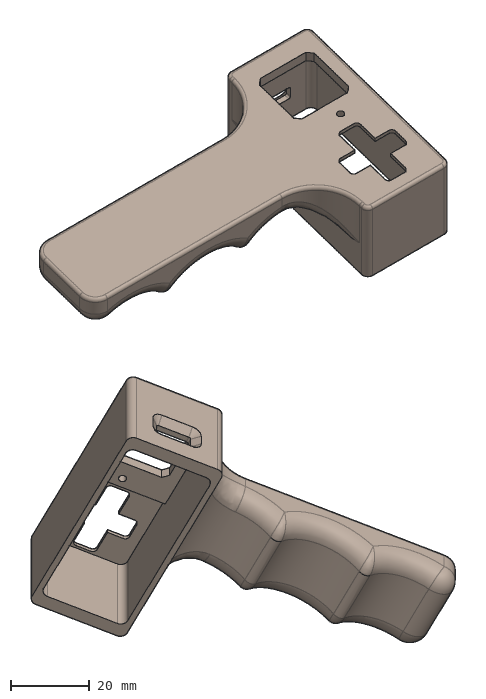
import cadquery as cq
import math


HEAD_WIDTH = 58.8
HEAD_LENGTH = 26.86
HEAD_HEIGHT = 26.2
HEAD_CORNER_RADIUS = 2.0
TOP_EDGE_RADIUS = 1.0

GRIP_COUNT = 3
GRIP_PITCH = 25.0
GRIP_RADIUS = 14.6
GRIP_CROWN_DEPTH = 9.0
RIDGE_RADIUS = 2.0
GRIP_AXIS_Z = HEAD_HEIGHT - GRIP_CROWN_DEPTH - GRIP_RADIUS
HANDLE_WIDTH = 25.0
HANDLE_LENGTH = GRIP_COUNT * GRIP_PITCH
HANDLE_EDGE_RADIUS = 5.0
FLARE_RADIUS = 14.0
ROOT_OVERLAP = 10.0

SIDE_WALL = 3.6
END_WALL = 1.6
CAVITY_CORNER_RADIUS = 2.0
SCREEN_ROOF = 3.2
PAD_ROOF = 1.2
ROOF_STEP_X = 2.0

SCREEN_CENTER = (-13.9, 13.4)
SCREEN_WIDTH = 17.3
SCREEN_LENGTH = 17.6
SCREEN_CORNER_CHAMFER = 1.5
PAD_CENTER = (14.6, 13.45)
PAD_WIDTH = 21.0
PAD_LENGTH = 17.8
PAD_ARM = 6.5
PAD_CORNER_RADIUS = 1.2
LED_DIAMETER = 2.0
LED_CENTER = (-0.6, 14.9)

PORT_CENTER_Y = HEAD_LENGTH / 2
PORT_CENTER_Z = 9.7
PORT_LENGTH = 9.6
PORT_HEIGHT = 4.2
PORT_CORNER_RADIUS = 0.5
PORT_BEVEL = 2.0

NEAR = 1e-3


def rounded_prism(width, length, height, radius, center):
    """Upright block standing on Z = 0 with rounded vertical edges."""
    block = cq.Workplane("XY").center(*center).rect(width, length).extrude(height)
    return block.edges("|Z").fillet(radius)


def make_head():
    center = (0, HEAD_LENGTH / 2)
    return rounded_prism(HEAD_WIDTH, HEAD_LENGTH, HEAD_HEIGHT, HEAD_CORNER_RADIUS, center)


def make_handle_blank():
    """Full-height handle, flaring into the head with concave quarter rounds."""
    half = HANDLE_WIDTH / 2
    flare_half = half + FLARE_RADIUS
    bend = FLARE_RADIUS * (1 - math.sqrt(0.5))
    return (
        cq.Workplane("XY")
        .moveTo(-flare_half, ROOT_OVERLAP)
        .lineTo(-flare_half, 0)
        .threePointArc((-half - bend, -bend), (-half, -FLARE_RADIUS))
        .lineTo(-half, -HANDLE_LENGTH)
        .lineTo(half, -HANDLE_LENGTH)
        .lineTo(half, -FLARE_RADIUS)
        .threePointArc((half + bend, -bend), (flare_half, 0))
        .lineTo(flare_half, ROOT_OVERLAP)
        .close()
        .extrude(HEAD_HEIGHT)
    )


def make_grip(blank, index):
    """One finger-wide length of the handle: hollowed from below, with its lower rim rounded."""
    front_y = -(index + 1) * GRIP_PITCH
    back_y = ROOT_OVERLAP if index == 0 else -index * GRIP_PITCH
    slab = cq.Workplane("XY").box(
        HEAD_WIDTH, back_y - front_y, HEAD_HEIGHT, centered=(True, False, False)
    )
    finger = (
        cq.Workplane("YZ")
        .center(front_y + GRIP_PITCH / 2, GRIP_AXIS_Z)
        .circle(GRIP_RADIUS)
        .extrude(HEAD_WIDTH / 2, both=True)
    )
    grip = blank.intersect(slab.translate((0, front_y, 0))).cut(finger)
    is_tip = index == GRIP_COUNT - 1
    rim_zone = cq.selectors.BoxSelector(
        (-HEAD_WIDTH, front_y - NEAR if is_tip else front_y + NEAR, 0),
        (HEAD_WIDTH, min(back_y, 0) - NEAR, HEAD_HEIGHT - TOP_EDGE_RADIUS),
    )
    rounded = grip.edges(rim_zone).edges("not |Z")
    if is_tip:
        rounded = rounded.add(grip.edges("|Z and <Y"))
    return rounded.fillet(HANDLE_EDGE_RADIUS)


def round_ridges(handle):
    """Blunt the sharp ridges left between neighbouring grips."""
    for index in range(1, GRIP_COUNT):
        ridge_y = -index * GRIP_PITCH
        ridge_zone = cq.selectors.BoxSelector(
            (-HEAD_WIDTH, ridge_y - NEAR, 0),
            (HEAD_WIDTH, ridge_y + NEAR, HEAD_HEIGHT),
        )
        handle = handle.edges(ridge_zone).fillet(RIDGE_RADIUS)
    return handle


def make_handle():
    blank = make_handle_blank()
    handle = make_grip(blank, 0)
    for index in range(1, GRIP_COUNT):
        handle = handle.union(make_grip(blank, index))
    return round_ridges(handle)


def make_cavity():
    """Void under the roof: a shallower ceiling over the screen side, a higher one under the pad."""
    width = HEAD_WIDTH - 2 * SIDE_WALL
    length = HEAD_LENGTH - 2 * END_WALL
    center = (0, HEAD_LENGTH / 2)
    void = rounded_prism(width, length, HEAD_HEIGHT - PAD_ROOF, CAVITY_CORNER_RADIUS, center)
    thick_roof = cq.Workplane("XY").box(
        HEAD_WIDTH, HEAD_LENGTH, SCREEN_ROOF, centered=False
    )
    return void.cut(thick_roof.translate((ROOF_STEP_X - HEAD_WIDTH, 0, HEAD_HEIGHT - SCREEN_ROOF)))


def make_roof_openings():
    """Through cuts for the screen, the cross-shaped pad and the indicator light."""
    screen = (
        cq.Workplane("XY")
        .center(*SCREEN_CENTER)
        .rect(SCREEN_WIDTH, SCREEN_LENGTH)
        .extrude(SCREEN_ROOF)
        .edges("|Z")
        .chamfer(SCREEN_CORNER_CHAMFER)
    )
    pad_across = rounded_prism(PAD_WIDTH, PAD_ARM, SCREEN_ROOF, PAD_CORNER_RADIUS, PAD_CENTER)
    pad_along = rounded_prism(PAD_ARM, PAD_LENGTH, SCREEN_ROOF, PAD_CORNER_RADIUS, PAD_CENTER)
    light = cq.Workplane("XY").center(*LED_CENTER).circle(LED_DIAMETER / 2).extrude(SCREEN_ROOF)
    openings = screen.union(pad_across.union(pad_along)).union(light)
    return openings.translate((0, 0, HEAD_HEIGHT - SCREEN_ROOF))


def make_port():
    """Cable opening through the -X wall, widening at 45 degrees towards the outside."""
    profile = cq.Sketch().rect(PORT_LENGTH, PORT_HEIGHT).vertices().fillet(PORT_CORNER_RADIUS)
    bevel_floor = cq.Workplane(
        "YZ", origin=(PORT_BEVEL - HEAD_WIDTH / 2, PORT_CENTER_Y, PORT_CENTER_Z)
    )
    throat = bevel_floor.placeSketch(profile).extrude(SIDE_WALL - PORT_BEVEL)
    mouth = bevel_floor.placeSketch(profile).extrude(-PORT_BEVEL, taper=-45)
    return throat.union(mouth)


body = make_head().union(make_handle())
body = body.faces(">Z").edges().fillet(TOP_EDGE_RADIUS)
result = body.cut(make_cavity()).cut(make_roof_openings()).cut(make_port())